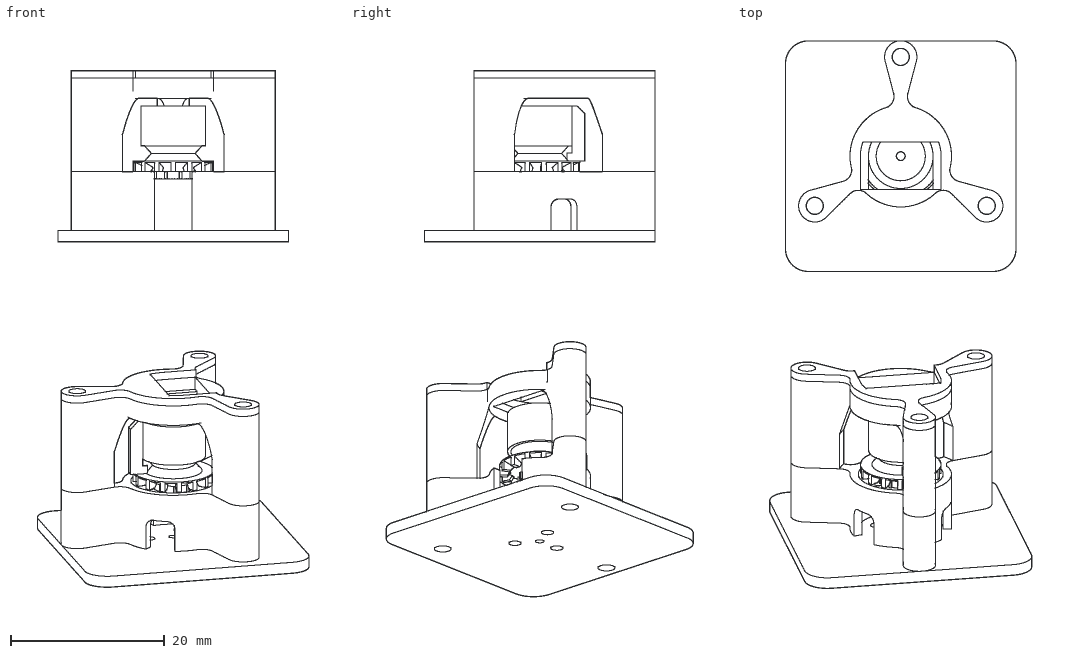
import cadquery as cq
import math

PLATE_SIZE = 30.0
PLATE_THICKNESS = 1.5
BASE_TOP = 9.12
CAP_THICKNESS = 1.0
OVERALL_HEIGHT = 22.25
FRAME_TOP = OVERALL_HEIGHT - CAP_THICKNESS
FRAME_DISC_BOTTOM = 18.63

PLATE_CORNER_RADIUS = 3.0
PLATE_PEG_HOLE_DIAMETER = 1.6
PLATE_PEG_HOLE_CIRCLE_RADIUS = 3.3
PLATE_CENTRE_HOLE_DIAMETER = 1.1

ARM_ANGLES = (90, 210, 330)
DISC_RADIUS = 6.6
POST_RADIUS = 2.1
POST_CENTRE_RADIUS = PLATE_SIZE / 2 - POST_RADIUS
POST_HOLE_DIAMETER = 2.2
ARM_FILLET_RADIUS = 1.5
ARM_NECK_HALF_WIDTH = 0.87

HOUSING_BORE_RADIUS = 5.52
FRONT_GAP_WIDTH = 4.92
SIDE_SLOT_ANGLES = (30, 150)
SIDE_SLOT_SPREAD = 34.4
SIDE_SLOT_TOP = 5.55
SIDE_SLOT_CORNER_RADIUS = 1.08

POST_INNER_RADIUS = 8.2
POST_TAPER_BOTTOM = 13.92
WINDOW_RADIUS = 5.25
WINDOW_FRONT_Y = -4.32
CAP_WINDOW_BACK_Y = 1.83
LEDGE_OPENING_RADIUS = 4.2
LEDGE_THICKNESS = 1.0

CUP_RADIUS = 4.2
CUP_BORE_DIAMETER = 6.4
CUP_DEPTH = 4.5
CUP_TOP = 17.67
CUP_BOTTOM = 12.48
BUTTON_HOLE_DIAMETER = 1.1
NECK_RADIUS = 2.85
NECK_Z = 11.5
NECK_CONE_RADIUS = 3.75
FLANGE_RADIUS = 5.25
FLANGE_TOP = 10.5
FLANGE_RIM_BOTTOM = 10.32
HUB_RADIUS = 2.58
HUB_TOP = BASE_TOP
HUB_BOTTOM = 8.2
HUB_RIB_COUNT = 9
HUB_RIB_WIDTH = 0.3
HUB_RIB_TIP_RADIUS = 2.88
TOOTH_COUNT = 15
TOOTH_WIDTH = 0.6
TOOTH_INNER_RADIUS = 3.78
TOOTH_FOOT_INNER_RADIUS = 4.2
KEY_WIDTH = 1.0
KEY_BACK_Y = 5.85
KEY_CHAMFER = 1.0
KEY_WEB_WIDTH = 0.5
KEY_FOOT_TOP = 11.55
KEY_FOOT_FRONT_Y = 3.57


def polar(radius, angle):
    """Point at a radius and an angle in degrees around the Z axis."""
    turn = math.radians(angle)
    return (radius * math.cos(turn), radius * math.sin(turn))


def cylinder(radius, bottom, top):
    return cq.Workplane("XY").workplane(offset=bottom).circle(radius).extrude(top - bottom)


def block(x_range, y_range, z_range):
    """Box between two limits along each axis."""
    corner = (x_range[0], y_range[0], z_range[0])
    lengths = [limits[1] - limits[0] for limits in (x_range, y_range, z_range)]
    return cq.Workplane("XY").box(*lengths, centered=False).translate(corner)


def revolved(profile):
    """Solid of revolution about Z from (radius, z) points."""
    return cq.Workplane("XZ").polyline(profile).close().revolve(360, (0, 0, 0), (0, 1, 0))


def arm(bottom, top):
    """Arm along +Y: waisted web flaring into the disc, and round post end."""
    fillet_x = ARM_NECK_HALF_WIDTH + ARM_FILLET_RADIUS
    fillet_y = math.sqrt((DISC_RADIUS + ARM_FILLET_RADIUS) ** 2 - fillet_x**2)
    disc_share = DISC_RADIUS / (DISC_RADIUS + ARM_FILLET_RADIUS)
    disc_touch = (fillet_x * disc_share, fillet_y * disc_share)

    to_post_x = -fillet_x
    to_post_y = POST_CENTRE_RADIUS - fillet_y
    centre_distance = math.hypot(to_post_x, to_post_y)
    normal_angle = math.atan2(to_post_y, to_post_x) + math.acos(
        (ARM_FILLET_RADIUS + POST_RADIUS) / centre_distance
    )
    normal = (math.cos(normal_angle), math.sin(normal_angle))
    fillet_touch = (fillet_x + ARM_FILLET_RADIUS * normal[0], fillet_y + ARM_FILLET_RADIUS * normal[1])
    post_touch = (-POST_RADIUS * normal[0], POST_CENTRE_RADIUS - POST_RADIUS * normal[1])

    waist = (ARM_NECK_HALF_WIDTH, fillet_y)

    def mirrored(point):
        return (-point[0], point[1])

    return (
        cq.Workplane("XY")
        .workplane(offset=bottom)
        .moveTo(0, 0)
        .lineTo(*disc_touch)
        .threePointArc(waist, fillet_touch)
        .lineTo(*post_touch)
        .threePointArc((0, POST_CENTRE_RADIUS + POST_RADIUS), mirrored(post_touch))
        .lineTo(*mirrored(fillet_touch))
        .threePointArc(mirrored(waist), mirrored(disc_touch))
        .close()
        .extrude(top - bottom)
    )


def three_armed_layer(bottom, top):
    """Disc with three arms, one every 120 degrees."""
    layer = cylinder(DISC_RADIUS, bottom, top)
    for angle in ARM_ANGLES:
        layer = layer.union(arm(bottom, top).rotate((0, 0, 0), (0, 0, 1), angle - 90))
    return layer


def post_holes(bottom, top):
    """Screw hole cutters on the post axes."""
    return (
        cq.Workplane("XY")
        .workplane(offset=bottom)
        .pushPoints([polar(POST_CENTRE_RADIUS, angle) for angle in ARM_ANGLES])
        .circle(POST_HOLE_DIAMETER / 2)
        .extrude(top - bottom)
    )


def u_opening(radius, y_range, z_range):
    """U-shaped cutter, round at the back with straight sides to the front, kept between two Y limits."""
    sides = block((-radius, radius), (-DISC_RADIUS, 0), z_range)
    limits = block((-radius, radius), y_range, z_range)
    return cylinder(radius, *z_range).union(sides).intersect(limits)


def side_slot(angle):
    """Slot cutter with radial walls and rounded upper corners, standing on the plate."""
    half_spread = SIDE_SLOT_SPREAD / 2
    inner_radius = HOUSING_BORE_RADIUS - SIDE_SLOT_CORNER_RADIUS
    outer_radius = DISC_RADIUS + SIDE_SLOT_CORNER_RADIUS
    slot = (
        cq.Workplane("XY")
        .workplane(offset=PLATE_THICKNESS)
        .polyline(
            [
                polar(inner_radius, -half_spread),
                polar(outer_radius, -half_spread),
                polar(outer_radius, half_spread),
                polar(inner_radius, half_spread),
            ]
        )
        .close()
        .extrude(SIDE_SLOT_TOP - PLATE_THICKNESS)
    )
    radial_top_edges = slot.faces(">Z").edges("not |Y")
    return radial_top_edges.fillet(SIDE_SLOT_CORNER_RADIUS).rotate((0, 0, 0), (0, 0, 1), angle)


def make_base():
    housing = three_armed_layer(PLATE_THICKNESS, BASE_TOP)
    housing = housing.cut(cylinder(HOUSING_BORE_RADIUS, PLATE_THICKNESS, BASE_TOP))
    half_gap = FRONT_GAP_WIDTH / 2
    housing = housing.cut(block((-half_gap, half_gap), (-DISC_RADIUS, 0), (PLATE_THICKNESS, BASE_TOP)))
    for angle in SIDE_SLOT_ANGLES:
        housing = housing.cut(side_slot(angle))

    plate = (
        cq.Workplane("XY")
        .rect(PLATE_SIZE, PLATE_SIZE)
        .extrude(PLATE_THICKNESS)
        .edges("|Z")
        .fillet(PLATE_CORNER_RADIUS)
    )
    peg_holes = (
        cq.Workplane("XY")
        .pushPoints([polar(PLATE_PEG_HOLE_CIRCLE_RADIUS, angle) for angle in ARM_ANGLES])
        .circle(PLATE_PEG_HOLE_DIAMETER / 2)
        .extrude(PLATE_THICKNESS)
    )
    plate = plate.cut(peg_holes).cut(cylinder(PLATE_CENTRE_HOLE_DIAMETER / 2, 0, PLATE_THICKNESS))
    return plate.union(housing).cut(post_holes(0, BASE_TOP))


def make_frame():
    frame = three_armed_layer(BASE_TOP, FRAME_TOP)
    clearance = revolved(
        [
            (0, BASE_TOP),
            (POST_INNER_RADIUS, BASE_TOP),
            (POST_INNER_RADIUS, POST_TAPER_BOTTOM),
            (DISC_RADIUS, FRAME_DISC_BOTTOM),
            (0, FRAME_DISC_BOTTOM),
        ]
    )
    ledge_top = FRAME_DISC_BOTTOM + LEDGE_THICKNESS
    frame = frame.cut(clearance)
    pocket = u_opening(WINDOW_RADIUS, (WINDOW_FRONT_Y, WINDOW_RADIUS), (ledge_top, FRAME_TOP))
    opening = u_opening(
        LEDGE_OPENING_RADIUS,
        (WINDOW_FRONT_Y, LEDGE_OPENING_RADIUS),
        (FRAME_DISC_BOTTOM, ledge_top),
    )
    frame = frame.cut(pocket).cut(opening)
    return frame.cut(post_holes(BASE_TOP, FRAME_TOP))


def make_cap():
    cap = three_armed_layer(FRAME_TOP, OVERALL_HEIGHT)
    window = u_opening(WINDOW_RADIUS, (-DISC_RADIUS, CAP_WINDOW_BACK_Y), (FRAME_TOP, OVERALL_HEIGHT))
    return cap.cut(window).cut(post_holes(FRAME_TOP, OVERALL_HEIGHT))


def button_core():
    return revolved(
        [
            (0, HUB_BOTTOM),
            (HUB_RADIUS, HUB_BOTTOM),
            (HUB_RADIUS, HUB_TOP),
            (FLANGE_RADIUS, FLANGE_RIM_BOTTOM),
            (FLANGE_RADIUS, FLANGE_TOP),
            (NECK_CONE_RADIUS, FLANGE_TOP),
            (NECK_RADIUS, NECK_Z),
            (NECK_CONE_RADIUS, CUP_BOTTOM),
            (CUP_RADIUS, CUP_BOTTOM),
            (CUP_RADIUS, CUP_TOP),
            (0, CUP_TOP),
        ]
    )


def flange_teeth():
    """Ring of fins under the flange, their lower inner corners cut away."""
    cone_slope = (FLANGE_RIM_BOTTOM - HUB_TOP) / (FLANGE_RADIUS - HUB_RADIUS)
    ring = revolved(
        [
            (FLANGE_RADIUS, BASE_TOP),
            (FLANGE_RADIUS, FLANGE_RIM_BOTTOM),
            (TOOTH_INNER_RADIUS, HUB_TOP + cone_slope * (TOOTH_INNER_RADIUS - HUB_RADIUS)),
            (TOOTH_FOOT_INNER_RADIUS, BASE_TOP),
        ]
    )
    teeth = []
    for index in range(TOOTH_COUNT):
        spoke = block(
            (HUB_RADIUS, FLANGE_RADIUS + TOOTH_WIDTH),
            (-TOOTH_WIDTH / 2, TOOTH_WIDTH / 2),
            (BASE_TOP, FLANGE_TOP),
        )
        spoke = spoke.rotate((0, 0, 0), (0, 0, 1), -90 + index * 360 / TOOTH_COUNT)
        teeth.append(ring.intersect(spoke))
    return teeth


def hub_rib(angle):
    rib = block(
        (0, HUB_RIB_TIP_RADIUS),
        (-HUB_RIB_WIDTH / 2, HUB_RIB_WIDTH / 2),
        (HUB_BOTTOM, HUB_TOP),
    )
    return rib.rotate((0, 0, 0), (0, 0, 1), angle)


def key():
    """Upright fin behind the cup: bevelled on top, thinned beside the neck above a full-width foot."""
    half_width = KEY_WIDTH / 2
    side = (-half_width, half_width)
    fin = block(side, (0, KEY_BACK_Y), (FLANGE_TOP, CUP_TOP))
    fin = fin.edges("|X and >Y and >Z").chamfer(KEY_CHAMFER)
    beside_neck = block(side, (0, CUP_RADIUS), (KEY_FOOT_TOP, CUP_BOTTOM))
    beside_foot = block(side, (0, KEY_FOOT_FRONT_Y), (FLANGE_TOP, KEY_FOOT_TOP))
    half_web = KEY_WEB_WIDTH / 2
    web = block((-half_web, half_web), (0, CUP_RADIUS), (FLANGE_TOP, CUP_BOTTOM))
    return fin.cut(beside_neck).cut(beside_foot).union(web)


def make_button():
    button = button_core().union(key())
    for tooth in flange_teeth():
        button = button.union(tooth)
    for index in range(HUB_RIB_COUNT):
        button = button.union(hub_rib(90 + index * 360 / HUB_RIB_COUNT))
    button = button.cut(cylinder(CUP_BORE_DIAMETER / 2, CUP_TOP - CUP_DEPTH, CUP_TOP))
    return button.cut(cylinder(BUTTON_HOLE_DIAMETER / 2, HUB_BOTTOM, CUP_TOP))


base = make_base()
frame = make_frame()
cap = make_cap()
button = make_button()

result = cq.Compound.makeCompound([base.val(), frame.val(), cap.val(), button.val()])